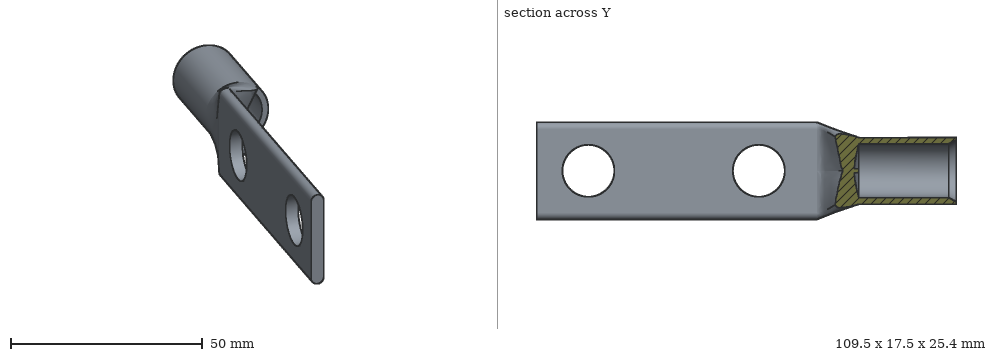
import cadquery as cq
import math

total_length = 109.47
barrel_radius = 8.74
wall = 1.75
barrel_length = 25.4
pad_start = 36.4
pad_width = 25.4
hole_diameter = 13.5
hole_spacing = 44.45
hole_end_distance = 13.5
mouth_radius = 8.05
mouth_chamfer_depth = 2.0

front_corner_y = -3.5
side_y = 3.4
fold_edge_y = 5.5
valley_y = 1.67
fold_delay = 1.2
bore_end_depth = 1.2
neck_steps = 6

bore_radius = barrel_radius - wall
pad_thickness = 2 * wall
front_y = -barrel_radius
seam_y = front_y + wall
pad_length = total_length - pad_start
neck_length = pad_start - barrel_length
fold_point_count = 3
straight_point_count = 4


def round_section():
    """Half-section points (y, z) of the barrel outline with a V fold pressed into its back.

    Order: valley, fold edge, edge arc middle, side, front arc middle, front corner, front centre.
    """
    corner, side, edge = (math.acos(y / barrel_radius) for y in (front_corner_y, side_y, fold_edge_y))
    angles = [edge, (edge + side) / 2, side, (side + corner) / 2, corner, math.pi]
    on_circle = [(barrel_radius * math.cos(a), barrel_radius * math.sin(a)) for a in angles]
    return [(valley_y, 0)] + on_circle


def flat_section():
    """Half-section points, in the same order, of the pad with its fully rounded side edges."""
    flat_half_width = pad_width / 2 - wall
    angles = [math.radians(a) for a in (0, 45, 90, 135, 180)]
    on_edge = [(seam_y + wall * math.cos(a), flat_half_width + wall * math.sin(a)) for a in angles]
    return [(seam_y + wall, 0)] + on_edge + [(front_y, 0)]


def neck_section(fraction):
    """Half-section part way along the neck: the fold drops in an S-curve, the rest runs straight."""
    delayed = fraction**fold_delay
    fold_weight = delayed**2 * (3 - 2 * delayed)
    weights = [fold_weight] * fold_point_count + [fraction] * straight_point_count
    return [
        (y0 + (y1 - y0) * weight, z0 + (z1 - z0) * weight)
        for (y0, z0), (y1, z1), weight in zip(round_section(), flat_section(), weights)
    ]


def section_wire(x, half_section):
    """Closed wire at x from a half-section mirrored about z = 0."""
    upper = [cq.Vector(x, y, z) for y, z in half_section]
    lower = [cq.Vector(x, y, -z) for y, z in half_section]
    valley, edge, edge_mid, side, front_mid, corner, front = upper
    _, low_edge, low_edge_mid, low_side, low_front_mid, low_corner, _ = lower
    is_flat_front = math.isclose(front.y, corner.y)
    if is_flat_front:
        front_edge = cq.Edge.makeLine(corner, low_corner)
    else:
        front_edge = cq.Edge.makeThreePointArc(corner, front, low_corner)
    return cq.Wire.assembleEdges([
        cq.Edge.makeLine(valley, edge),
        cq.Edge.makeThreePointArc(edge, edge_mid, side),
        cq.Edge.makeThreePointArc(side, front_mid, corner),
        front_edge,
        cq.Edge.makeThreePointArc(low_corner, low_front_mid, low_side),
        cq.Edge.makeThreePointArc(low_side, low_edge_mid, low_edge),
        cq.Edge.makeLine(low_edge, valley),
    ])


def make_barrel():
    tube = cq.Workplane("YZ").circle(barrel_radius).circle(bore_radius).extrude(barrel_length)
    mouth = cq.Solid.makeCone(
        mouth_radius, bore_radius, mouth_chamfer_depth, cq.Vector(0, 0, 0), cq.Vector(1, 0, 0)
    )
    return tube.cut(cq.Workplane(mouth))


def make_bore_end():
    """Shallow spherical dish closing the bore, kept one wall thickness clear of the V fold."""
    dish_radius = (bore_radius**2 + bore_end_depth**2) / (2 * bore_end_depth)
    centre_x = barrel_length + bore_end_depth - dish_radius
    dish = cq.Workplane("XY", origin=(centre_x, 0, 0)).sphere(dish_radius)

    fold_edge_z = math.sqrt(barrel_radius**2 - fold_edge_y**2)
    fold_slope = (fold_edge_y - valley_y) / fold_edge_z
    inner_valley_y = valley_y - wall * math.hypot(1, fold_slope)
    inner_edge_y = inner_valley_y + fold_slope * barrel_radius
    below_fold = (
        cq.Workplane("YZ", origin=(barrel_length, 0, 0))
        .moveTo(inner_valley_y, 0)
        .lineTo(inner_edge_y, barrel_radius)
        .lineTo(front_y, barrel_radius)
        .lineTo(front_y, -barrel_radius)
        .lineTo(inner_edge_y, -barrel_radius)
        .close()
        .extrude(bore_end_depth)
    )
    return dish.intersect(below_fold)


def make_neck():
    wires = []
    for step in range(neck_steps + 1):
        fraction = step / neck_steps
        wires.append(section_wire(barrel_length + neck_length * fraction, neck_section(fraction)))
    neck = cq.Workplane(cq.Solid.makeLoft(wires))
    return neck.cut(make_bore_end())


def make_pad():
    profile = section_wire(pad_start, flat_section())
    bar = cq.Workplane(cq.Solid.extrudeLinear(profile, [], cq.Vector(pad_length, 0, 0)))
    outer_hole_x = total_length - hole_end_distance
    holes = (
        cq.Workplane("XZ", origin=(0, front_y, 0))
        .pushPoints([(outer_hole_x, 0), (outer_hole_x - hole_spacing, 0)])
        .circle(hole_diameter / 2)
        .extrude(-pad_thickness)
    )
    return bar.cut(holes)


result = make_barrel().union(make_neck()).union(make_pad())